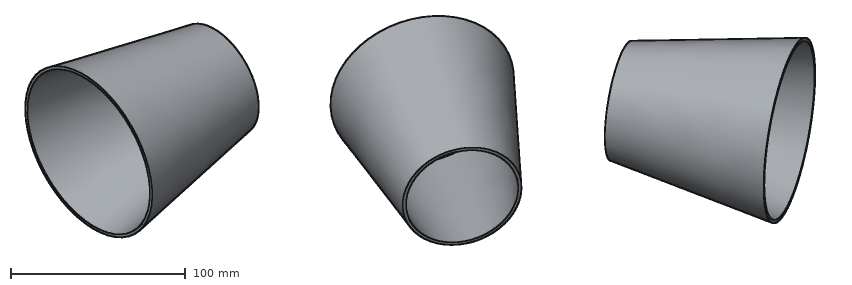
import cadquery as cq

large_outer_diameter = 108.0
large_inner_diameter = 104.0
small_outer_diameter = 70.0
small_inner_diameter = 66.0
length = 100.0


def cone_frustum(large_diameter, small_diameter):
    """Solid frustum with its large end at Y = 0, narrowing toward +Y."""
    return cq.Workplane(
        cq.Solid.makeCone(
            large_diameter / 2,
            small_diameter / 2,
            length,
            pnt=cq.Vector(0, 0, 0),
            dir=cq.Vector(0, 1, 0),
        )
    )


outer_body = cone_frustum(large_outer_diameter, small_outer_diameter)
bore = cone_frustum(large_inner_diameter, small_inner_diameter)

result = outer_body.cut(bore)